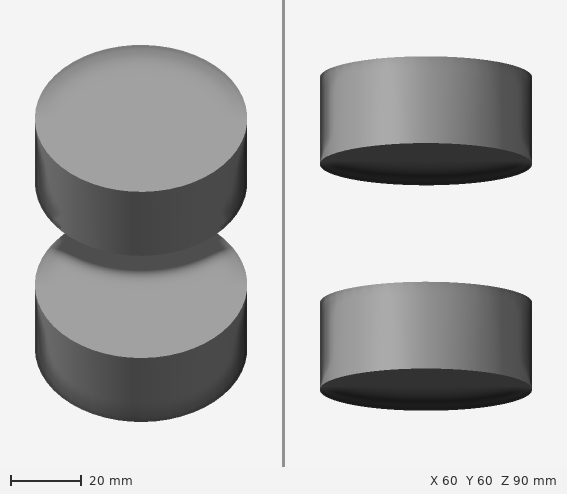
import cadquery as cq

overall_height = 90.0
disc_diameter = 60.0
disc_thickness = 25.0

lower_disc_base = -overall_height / 2
upper_disc_base = overall_height / 2 - disc_thickness


def make_disc(base_height):
    """Plain round disc on the Z axis, rising from base_height."""
    return (
        cq.Workplane("XY")
        .workplane(offset=base_height)
        .circle(disc_diameter / 2)
        .extrude(disc_thickness)
    )


discs = [make_disc(base) for base in (lower_disc_base, upper_disc_base)]

result = cq.Compound.makeCompound([disc.val() for disc in discs])